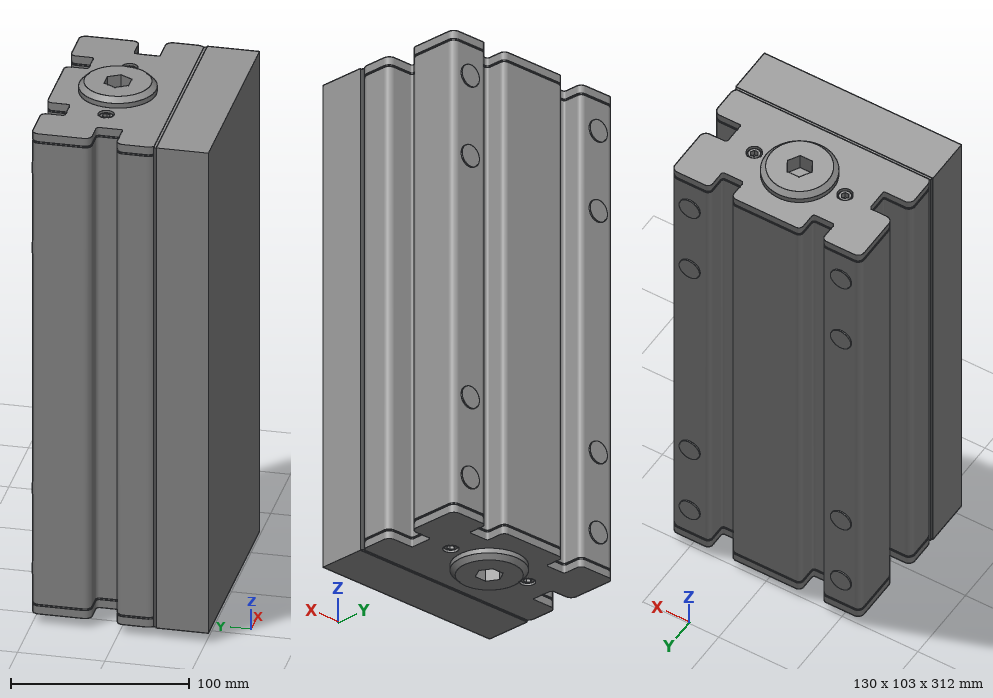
import cadquery as cq
import math

WIDTH = 130.0
TOTAL_LENGTH = 312.0
BODY_BACK = 102.0
DISC_HEIGHT = 6.0
LENGTH = TOTAL_LENGTH - 2 * DISC_HEIGHT
HALF_WIDTH = WIDTH / 2
HALF_LENGTH = LENGTH / 2

PLATE_DEPTH = 30.0
SPACER_DEPTH = 1.5
SPACER_END_RECESS = 0.3
SPACER_SIDE_INSET = 0.5
FRONT_CORNER_RADIUS = 5.5

LUG_HALF_WIDTH = 62.5
LUG_RADIUS = 4.0
SIDE_SLOT_FRONT = 53.0
SIDE_SLOT_BACK = 68.0
SIDE_SLOT_INNER_X = 47.0
SLOT_FRONT_INNER_RADIUS = 1.0
SLOT_BACK_INNER_RADIUS = 2.0
SCREW_X = 30.0
BACK_SLOT_WIDTH = 14.0
BACK_SLOT_DEPTH = 13.5
BACK_SLOT_EDGE_RADIUS = 3.0
BACK_SLOT_FLOOR_RADIUS = 1.5

CAP_THICKNESS = 5.0
SEAM_WIDTH = 1.0
SEAM_DEPTH = 0.3

AXIS_Y = 66.5
DISC_DIAMETER = 44.0
DISC_CHAMFER = 2.95
SOCKET_FLATS = 14.0
SOCKET_DEPTH = 10.0

SCREW_HOLE_DIAMETER = 9.0
SCREW_HEAD_DIAMETER = 8.5
SCREW_HEAD_TOP_DIAMETER = 7.2
SCREW_HOLE_DEPTH = 9.5
SCREW_HEAD_RECESS = 1.0
SCREW_SOCKET_FLATS = 4.0
SCREW_SOCKET_DEPTH = 3.7

PAD_DIAMETER = 13.5
PAD_HEIGHT = 1.0
PAD_X = 50.0
PAD_END_DISTANCES = (25.0, 75.0)


def rounded_outline(corners):
    """Closed wire through right-angled corners (x, y, radius), each rounded by an arc."""
    count = len(corners)
    arcs = []
    for i, (x, y, radius) in enumerate(corners):
        toward = []
        for neighbour in (corners[i - 1], corners[(i + 1) % count]):
            dx, dy = neighbour[0] - x, neighbour[1] - y
            span = math.hypot(dx, dy)
            toward.append((dx / span, dy / span))
        (ax, ay), (bx, by) = toward
        mid = radius * (1 - math.sqrt(0.5))
        arcs.append((
            (x + radius * ax, y + radius * ay),
            (x + mid * (ax + bx), y + mid * (ay + by)),
            (x + radius * bx, y + radius * by),
        ))
    outline = cq.Workplane("XY").moveTo(*arcs[0][0])
    outline = outline.threePointArc(*arcs[0][1:])
    for start, middle, end in arcs[1:]:
        outline = outline.lineTo(*start).threePointArc(middle, end)
    return outline.close()


def body_outline():
    slot_outer = SCREW_X + BACK_SLOT_WIDTH / 2
    slot_inner = SCREW_X - BACK_SLOT_WIDTH / 2
    slot_floor = BODY_BACK - BACK_SLOT_DEPTH
    right = [
        (HALF_WIDTH, PLATE_DEPTH, FRONT_CORNER_RADIUS),
        (HALF_WIDTH, SIDE_SLOT_FRONT, LUG_RADIUS),
        (SIDE_SLOT_INNER_X, SIDE_SLOT_FRONT, SLOT_FRONT_INNER_RADIUS),
        (SIDE_SLOT_INNER_X, SIDE_SLOT_BACK, SLOT_BACK_INNER_RADIUS),
        (LUG_HALF_WIDTH, SIDE_SLOT_BACK, LUG_RADIUS),
        (LUG_HALF_WIDTH, BODY_BACK, LUG_RADIUS),
        (slot_outer, BODY_BACK, BACK_SLOT_EDGE_RADIUS),
        (slot_outer, slot_floor, BACK_SLOT_FLOOR_RADIUS),
        (slot_inner, slot_floor, BACK_SLOT_FLOOR_RADIUS),
        (slot_inner, BODY_BACK, BACK_SLOT_EDGE_RADIUS),
    ]
    left = [(-x, y, radius) for x, y, radius in reversed(right)]
    return rounded_outline(right + left)


def front_block():
    plate = cq.Workplane("XY").box(WIDTH, PLATE_DEPTH, LENGTH, centered=(True, False, True))
    spacer_width = WIDTH - 2 * SPACER_SIDE_INSET
    spacer_length = LENGTH - 2 * SPACER_END_RECESS
    spacer = (
        cq.Workplane("XY")
        .box(spacer_width, SPACER_DEPTH, spacer_length, centered=(True, False, True))
        .translate((0, PLATE_DEPTH, 0))
    )
    return plate.union(spacer)


def slotted_body():
    core_length = LENGTH - 2 * (CAP_THICKNESS + SEAM_WIDTH)
    cap = body_outline().extrude(CAP_THICKNESS)
    inner = body_outline().offset2D(-SEAM_DEPTH).extrude(LENGTH)
    body = inner.translate((0, 0, -HALF_LENGTH))
    body = body.union(body_outline().extrude(core_length).translate((0, 0, -core_length / 2)))
    body = body.union(cap.translate((0, 0, HALF_LENGTH - CAP_THICKNESS)))
    body = body.union(cap.translate((0, 0, -HALF_LENGTH)))
    spacer_back = PLATE_DEPTH + SPACER_DEPTH
    spacer_room = cq.Workplane("XY").box(WIDTH, spacer_back, LENGTH, centered=(True, False, True))
    return body.cut(spacer_room)


def hexagon(flats, height):
    return cq.Workplane("XY").polygon(6, flats / math.cos(math.pi / 6)).extrude(height)


def at_both_ends(tool):
    """A tool placed at the +Z end together with its mirror image at the -Z end."""
    return tool.union(tool.mirror("XY"))


def end_disc():
    disc = cq.Workplane("XY").circle(DISC_DIAMETER / 2).extrude(DISC_HEIGHT)
    disc = disc.faces(">Z").chamfer(DISC_CHAMFER)
    return disc.translate((0, AXIS_Y, HALF_LENGTH))


def disc_socket():
    return hexagon(SOCKET_FLATS, SOCKET_DEPTH).translate(
        (0, AXIS_Y, HALF_LENGTH + DISC_HEIGHT - SOCKET_DEPTH)
    )


def screw_recess():
    """Space around and inside one screw, with the screw head left standing in it."""
    hole = cq.Workplane("XY").circle(SCREW_HOLE_DIAMETER / 2).extrude(-SCREW_HOLE_DEPTH)
    head_height = SCREW_HOLE_DEPTH - SCREW_HEAD_RECESS
    head = cq.Workplane("XY").circle(SCREW_HEAD_DIAMETER / 2).extrude(head_height)
    head = head.faces(">Z").chamfer((SCREW_HEAD_DIAMETER - SCREW_HEAD_TOP_DIAMETER) / 2)
    socket = hexagon(SCREW_SOCKET_FLATS, SCREW_SOCKET_DEPTH)
    head = head.cut(socket.translate((0, 0, head_height - SCREW_SOCKET_DEPTH)))
    return hole.cut(head.translate((0, 0, -SCREW_HOLE_DEPTH)))


def back_pads():
    heights = [side * (HALF_LENGTH - d) for side in (-1, 1) for d in PAD_END_DISTANCES]
    spots = [(x, z) for x in (-PAD_X, PAD_X) for z in heights]
    return (
        cq.Workplane("XZ", origin=(0, BODY_BACK, 0))
        .pushPoints(spots)
        .circle(PAD_DIAMETER / 2)
        .extrude(-PAD_HEIGHT)
    )


result = slotted_body().union(front_block())
result = result.union(at_both_ends(end_disc()))
result = result.cut(at_both_ends(disc_socket()))
for screw_x in (-SCREW_X, SCREW_X):
    result = result.cut(at_both_ends(screw_recess().translate((screw_x, AXIS_Y, HALF_LENGTH))))
result = result.union(back_pads())